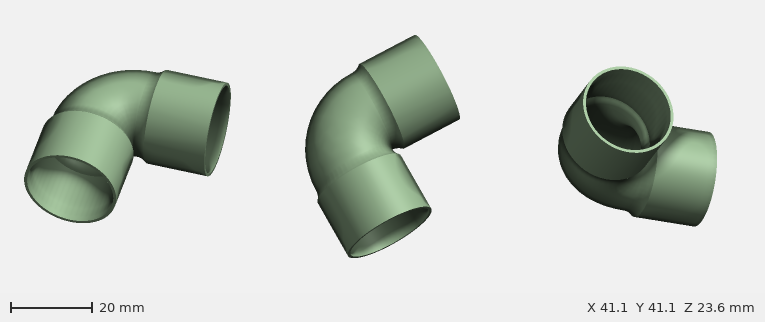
import cadquery as cq
import math

overall_size = 41.15
socket_radius = 11.8
socket_wall = 0.75
socket_length = 15.55
flare_length = 2.85
bend_outer_radius = 10.65
bend_wall = 0.8

axis_to_socket_end = overall_size - socket_radius
flare_end = axis_to_socket_end - socket_length
bend_radius = flare_end - flare_length


def make_bend(radius):
    """Solid quarter torus joining the starts of the two flares."""
    return (
        cq.Workplane("YZ", origin=(bend_radius, 0, 0))
        .circle(radius)
        .revolve(90, (-bend_radius, 0), (-bend_radius, 1))
    )


def make_leg(small_radius, large_radius):
    """Solid flare and socket along +X; the concave flare starts tangent to the bend."""
    rise = large_radius - small_radius
    arc_radius = (flare_length**2 + rise**2) / (2 * rise)
    half_angle = math.asin(flare_length / arc_radius) / 2
    flare_middle = (
        bend_radius + arc_radius * math.sin(half_angle),
        small_radius + arc_radius * (1 - math.cos(half_angle)),
    )
    return (
        cq.Workplane("XY")
        .moveTo(bend_radius, 0)
        .lineTo(bend_radius, small_radius)
        .threePointArc(flare_middle, (flare_end, large_radius))
        .lineTo(axis_to_socket_end, large_radius)
        .lineTo(axis_to_socket_end, 0)
        .close()
        .revolve(360, (0, 0), (1, 0))
    )


def make_elbow(small_radius, large_radius):
    """Solid elbow: the bend with a leg at each end."""
    leg_x = make_leg(small_radius, large_radius)
    leg_y = leg_x.rotate((0, 0, 0), (0, 0, 1), -90)
    return make_bend(small_radius).union(leg_x).union(leg_y)


outside = make_elbow(bend_outer_radius, socket_radius)
bore = make_elbow(bend_outer_radius - bend_wall, socket_radius - socket_wall)
result = outside.cut(bore)